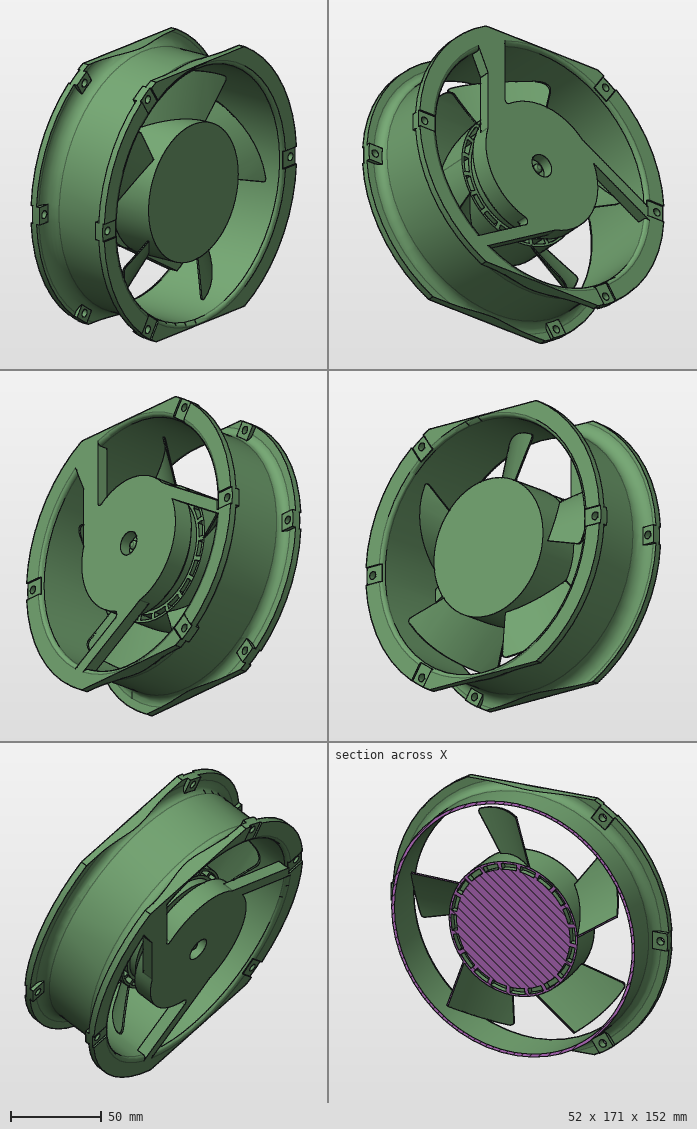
import cadquery as cq
import math

DEPTH = 52.0
FLANGE_RADIUS = 85.5
ROUGH_RIM_RADIUS = 87.2
HALF_HEIGHT = 76.01
FLANGE_THICKNESS = 4.0

DUCT_INNER_RADIUS = 73.4
DUCT_OUTER_RADIUS = 75.4
BELL_RADIUS = 2.4
FRONT_FLARE_RADIUS = 8.0
REAR_FLARE_RADIUS = 5.3

PAD_ANGLES = (0, 124, 180, 236)
PAD_WIDTH = 10.3
PAD_INNER_RADIUS = 74.0
PAD_RECESS = 1.0
PAD_THICKNESS = 5.1
SCREW_CIRCLE_RADIUS = 81.2
SCREW_HOLE_RADIUS = 2.2

MOUNT_RADIUS = 39.2
MOUNT_DEPTH = 11.8
STRUT_DEPTH = 6.8
STRUT_INNER_OFFSET = 30.8
STRUT_OUTER_OFFSET = 37.6
STRUT_END_RADIUS = 76.8
WIDE_STRUT_INNER_OFFSET = 25.6
WIDE_STRUT_FLARE_START = 46.3
FLARE_END = (44.3, 61.0)
WIDE_STRUT_FILLET = 1.7
THIRD_STRUT_FILLET = 2.5
SHAFT_RECESS_RADIUS = 6.8

SHAFT_RADIUS = 2.5
SHAFT_START = 2.4
SHAFT_END_ROUNDING = 1.2
DRUM_RADIUS = 33.3
DRUM_START = 16.6
ROTOR_RADIUS = 39.8
ROTOR_START = 20.9
ROTOR_END = 47.0
VENT_COUNT = 20
VENT_INNER_RADIUS = 35.2
VENT_OUTER_RADIUS = 38.3
VENT_SPAN = 14.0
VENT_DEPTH = 8.5
FIRST_VENT_ANGLE = 14.0

BLADE_COUNT = 5
BLADE_ROOT_RADIUS = 39.2
BLADE_TIP_RADIUS = 67.0
BLADE_THICKNESS = 1.0
LEADING_EDGE_Y = -15.7
TRAILING_ROOT_ANGLE = 67.0
TRAILING_TIP_ANGLE = 61.8
LEADING_CORNER_RADIUS = 7.7
TRAILING_CORNER_RADIUS = 2.0
BLADE_AXIS_TILT = -16.0
CAMBER_LEADING = (11.0, -32.5)
CAMBER_MIDDLE = (32.3, -12.0)
CAMBER_TRAILING = (45.3, 15.4)


def axial(x):
    """Workplane across the fan axis at X = x; local axes are Y and Z."""
    return cq.Workplane("YZ", origin=(x, 0, 0))


def disc(radius, start, end):
    return axial(start).circle(radius).extrude(end - start)


def turn(body, angle):
    """Rotate a body about the fan axis."""
    return body.rotate((0, 0, 0), (1, 0, 0), angle)


def polar(radius, angle):
    a = math.radians(angle)
    return (radius * math.cos(a), radius * math.sin(a))


def make_duct():
    """Duct and both untrimmed flanges, revolved from one (X, radius) profile."""
    mouth = DUCT_INNER_RADIUS + BELL_RADIUS
    bell_mid = BELL_RADIUS * (1 - math.sqrt(0.5))
    front_face = FLANGE_THICKNESS
    rear_face = DEPTH - FLANGE_THICKNESS
    front_mid = FRONT_FLARE_RADIUS * (1 - math.sqrt(0.5))
    rear_mid = REAR_FLARE_RADIUS * (1 - math.sqrt(0.5))
    return (
        cq.Workplane("XY")
        .moveTo(0, mouth)
        .lineTo(0, ROUGH_RIM_RADIUS)
        .lineTo(front_face, ROUGH_RIM_RADIUS)
        .lineTo(front_face, DUCT_OUTER_RADIUS + FRONT_FLARE_RADIUS)
        .threePointArc(
            (front_face + front_mid, DUCT_OUTER_RADIUS + front_mid),
            (front_face + FRONT_FLARE_RADIUS, DUCT_OUTER_RADIUS),
        )
        .lineTo(rear_face - REAR_FLARE_RADIUS, DUCT_OUTER_RADIUS)
        .threePointArc(
            (rear_face - rear_mid, DUCT_OUTER_RADIUS + rear_mid),
            (rear_face, DUCT_OUTER_RADIUS + REAR_FLARE_RADIUS),
        )
        .lineTo(rear_face, ROUGH_RIM_RADIUS)
        .lineTo(DEPTH, ROUGH_RIM_RADIUS)
        .lineTo(DEPTH, mouth)
        .threePointArc(
            (DEPTH - bell_mid, DUCT_INNER_RADIUS + bell_mid),
            (DEPTH - BELL_RADIUS, DUCT_INNER_RADIUS),
        )
        .lineTo(BELL_RADIUS, DUCT_INNER_RADIUS)
        .threePointArc((bell_mid, DUCT_INNER_RADIUS + bell_mid), (0, mouth))
        .close()
        .revolve(360, (0, 0, 0), (1, 0, 0))
    )


def make_strut(inner_offset):
    """Strut running in +Z from the axis level to the flange."""
    width = STRUT_OUTER_OFFSET - inner_offset
    return (
        axial(0)
        .center(inner_offset, 0)
        .rect(width, STRUT_END_RADIUS, centered=False)
        .extrude(STRUT_DEPTH)
    )


def make_wide_strut():
    """Widest strut, whose outer side flares out towards the flange."""
    run = FLARE_END[0] - STRUT_OUTER_OFFSET
    rise = FLARE_END[1] - WIDE_STRUT_FLARE_START
    flare_top = STRUT_OUTER_OFFSET + run / rise * (STRUT_END_RADIUS - WIDE_STRUT_FLARE_START)
    flare = (
        axial(0)
        .moveTo(STRUT_OUTER_OFFSET, WIDE_STRUT_FLARE_START)
        .lineTo(flare_top, STRUT_END_RADIUS)
        .lineTo(STRUT_OUTER_OFFSET, STRUT_END_RADIUS)
        .close()
        .extrude(STRUT_DEPTH)
    )
    return make_strut(WIDE_STRUT_INNER_OFFSET).union(flare)


def fillet_strut_corner(mount, inner_offset, turn_angle, radius):
    """Round the corner where the inner side of a strut meets the round mount."""
    corner = math.degrees(math.acos(inner_offset / MOUNT_RADIUS)) + turn_angle
    y, z = polar(MOUNT_RADIUS, corner)
    nearest = cq.selectors.NearestToPointSelector((STRUT_DEPTH / 2, y, z))
    return mount.edges("|X").edges(nearest).fillet(radius)


def make_mount():
    """Motor mount with three struts, bored for the shaft."""
    plate = disc(MOUNT_RADIUS, 0, STRUT_DEPTH)
    struts = make_wide_strut()
    for angle in (120, 240):
        struts = struts.union(turn(make_strut(STRUT_INNER_OFFSET), angle))
    mount = plate.union(struts.intersect(disc(STRUT_END_RADIUS, 0, STRUT_DEPTH)))
    mount = fillet_strut_corner(mount, WIDE_STRUT_INNER_OFFSET, 0, WIDE_STRUT_FILLET)
    mount = fillet_strut_corner(mount, STRUT_INNER_OFFSET, 240, THIRD_STRUT_FILLET)
    mount = mount.union(disc(MOUNT_RADIUS, STRUT_DEPTH, MOUNT_DEPTH))
    mount = mount.cut(disc(SHAFT_RECESS_RADIUS, 0, STRUT_DEPTH))
    return mount.cut(disc(SHAFT_RADIUS, STRUT_DEPTH, MOUNT_DEPTH))


def pad_block(start, end, angle):
    """Block as wide as a pad, reaching from the pad's inner end past the flange rim."""
    block = (
        axial(start)
        .center(PAD_INNER_RADIUS, -PAD_WIDTH / 2)
        .rect(ROUGH_RIM_RADIUS, PAD_WIDTH, centered=False)
        .extrude(end - start)
    )
    return turn(block, angle)


def add_pads(frame):
    """Recessed pads with through holes on both flanges."""
    pad_back = PAD_RECESS + PAD_THICKNESS
    for angle in PAD_ANGLES:
        frame = frame.union(pad_block(PAD_RECESS, pad_back, angle))
        frame = frame.union(pad_block(DEPTH - pad_back, DEPTH - PAD_RECESS, angle))
        frame = frame.cut(pad_block(0, PAD_RECESS, angle))
        frame = frame.cut(pad_block(DEPTH - PAD_RECESS, DEPTH, angle))
    holes = (
        axial(0)
        .pushPoints([polar(SCREW_CIRCLE_RADIUS, angle) for angle in PAD_ANGLES])
        .circle(SCREW_HOLE_RADIUS)
        .extrude(DEPTH)
    )
    return frame.cut(holes)


def make_housing():
    frame = add_pads(make_duct().union(make_mount()))
    flats = axial(0).rect(2 * ROUGH_RIM_RADIUS, 2 * HALF_HEIGHT).extrude(DEPTH)
    return frame.intersect(disc(FLANGE_RADIUS, 0, DEPTH).intersect(flats))


def make_vent(angle):
    """Pocket shaped as a ring sector, in the front face of the rotor."""
    first = angle - VENT_SPAN / 2
    last = angle + VENT_SPAN / 2
    return (
        axial(ROTOR_START)
        .moveTo(*polar(VENT_INNER_RADIUS, first))
        .lineTo(*polar(VENT_OUTER_RADIUS, first))
        .threePointArc(polar(VENT_OUTER_RADIUS, angle), polar(VENT_OUTER_RADIUS, last))
        .lineTo(*polar(VENT_INNER_RADIUS, last))
        .threePointArc(polar(VENT_INNER_RADIUS, angle), polar(VENT_INNER_RADIUS, first))
        .close()
        .extrude(VENT_DEPTH)
    )


def make_blade_outline():
    """Axial prism with the outline of the blade that stands near +Z."""
    leading_tip_z = math.sqrt(BLADE_TIP_RADIUS**2 - LEADING_EDGE_Y**2)
    outline = (
        axial(0)
        .moveTo(*polar(BLADE_ROOT_RADIUS, TRAILING_ROOT_ANGLE))
        .lineTo(*polar(BLADE_TIP_RADIUS, TRAILING_TIP_ANGLE))
        .threePointArc((0, BLADE_TIP_RADIUS), (LEADING_EDGE_Y, leading_tip_z))
        .lineTo(LEADING_EDGE_Y, math.sqrt(BLADE_ROOT_RADIUS**2 - LEADING_EDGE_Y**2))
        .threePointArc((0, BLADE_ROOT_RADIUS), polar(BLADE_ROOT_RADIUS, TRAILING_ROOT_ANGLE))
        .close()
        .extrude(DEPTH)
    )
    rounded = outline.edges("|X").edges(">Z").fillet(LEADING_CORNER_RADIUS)
    return rounded.edges("|X").edges(">Y").fillet(TRAILING_CORNER_RADIUS)


def make_blade():
    """Cambered sheet running along the blade axis, trimmed to the blade outline."""
    curve = (CAMBER_LEADING, CAMBER_MIDDLE, CAMBER_TRAILING)
    back_leading, back_middle, back_trailing = [(x + BLADE_THICKNESS, y) for x, y in curve]
    sheet = (
        cq.Workplane("XY")
        .moveTo(*CAMBER_LEADING)
        .threePointArc(CAMBER_MIDDLE, CAMBER_TRAILING)
        .lineTo(*back_trailing)
        .threePointArc(back_middle, back_leading)
        .close()
        .extrude(FLANGE_RADIUS)
    )
    return turn(sheet, BLADE_AXIS_TILT).intersect(make_blade_outline())


def make_rotor():
    rotor = disc(ROTOR_RADIUS, ROTOR_START, ROTOR_END)
    for index in range(VENT_COUNT):
        rotor = rotor.cut(make_vent(FIRST_VENT_ANGLE + index * 360 / VENT_COUNT))
    shaft = disc(SHAFT_RADIUS, SHAFT_START, DRUM_START).faces("<X").edges().fillet(SHAFT_END_ROUNDING)
    rotor = rotor.union(disc(DRUM_RADIUS, DRUM_START, ROTOR_START)).union(shaft)
    blade = make_blade()
    for index in range(BLADE_COUNT):
        rotor = rotor.union(turn(blade, index * 360 / BLADE_COUNT))
    return rotor


housing = make_housing()
rotor = make_rotor()
result = cq.Compound.makeCompound([housing.val(), rotor.val()])